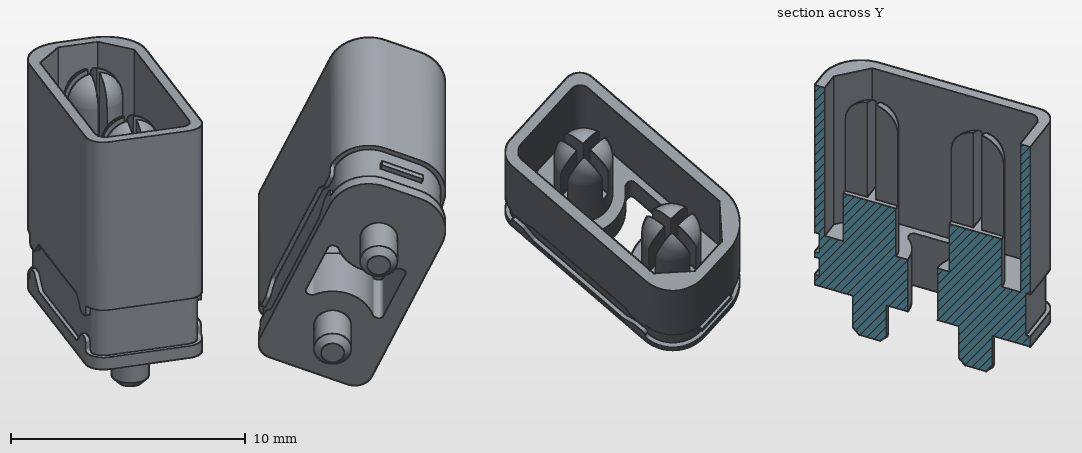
import cadquery as cq

length = 10.2
width = 5.2
total_height = 12.7
body_height = 10.7
large_radius = 1.8
small_radius = 0.8

wall = 0.48
cavity_chamfer = 1.23
cavity_radius = 0.5
cavity_floor = 2.8

band_depth = 0.2
band_bottom = 0.57
band_top = cavity_floor

tab_base = 1.21
upper_tab_height = 0.58
lower_tab_height = 0.62
tab_fillet = 0.19

rib_width = 1.9
rib_height = 0.3
rib_bottom = 1.49

pin_pitch = 5.0
pin_diameter = 2.5
pin_top = 10.43
pin_slot_width = 0.4
pin_slot_depth = 5.08
tail_diameter = 1.6
tail_length = total_height - body_height
tail_chamfer = 0.3

window_length = 2.77
window_width = 3.58
boss_radius = 1.8
window_fillet = 0.2

pin_centres = [(-pin_pitch / 2, 0), (pin_pitch / 2, 0)]


def housing_prism(inset, bottom, top):
    """Prism with the housing outline, moved inwards by inset."""
    prism = (
        cq.Workplane("XY")
        .workplane(offset=bottom)
        .rect(length - 2 * inset, width - 2 * inset)
        .extrude(top - bottom)
    )
    prism = prism.edges("|Z and <X").fillet(large_radius - inset)
    return prism.edges("|Z and >X").fillet(small_radius - inset)


def make_cavity():
    cavity = (
        cq.Workplane("XY")
        .workplane(offset=cavity_floor)
        .rect(length - 2 * wall, width - 2 * wall)
        .extrude(body_height - cavity_floor)
    )
    cavity = cavity.edges("|Z and <X").chamfer(cavity_chamfer)
    return cavity.edges("|Z and >X").fillet(cavity_radius)


def make_tab(x_start, inward, z_base, rise, height):
    """Tab across the full width; inward and rise are the +1 or -1 senses along X and Z.

    It has an upright end at x_start and a 45 degree slope at its other end.
    """
    profile = [(0, 0), (0, height), (tab_base - height, height), (tab_base, 0)]
    points = [(x_start + inward * along, z_base + rise * up) for along, up in profile]
    return cq.Workplane("XZ").polyline(points).close().extrude(width / 2, both=True)


def make_band():
    """Material removed around the base, with the rounded tabs left standing."""
    band = cq.Workplane("XY").box(length, width, band_top - band_bottom)
    band = band.translate((0, 0, (band_bottom + band_top) / 2))
    side_ends = [(-length / 2 + large_radius, 1), (length / 2 - small_radius, -1)]
    for x_start, inward in side_ends:
        band = band.cut(make_tab(x_start, inward, band_bottom, 1, lower_tab_height))
        band = band.cut(make_tab(x_start, inward, band_top, -1, upper_tab_height))
    band = band.edges("|Y and (not <X) and (not >X)").fillet(tab_fillet)
    return band.cut(housing_prism(band_depth, band_bottom, band_top))


def make_rib():
    rib = cq.Workplane("XY").box(wall, rib_width, rib_height, centered=(False, True, False))
    return rib.translate((-length / 2, 0, rib_bottom))


def make_window():
    window = cq.Workplane("XY").rect(window_length, window_width).extrude(cavity_floor)
    bosses = cq.Workplane("XY").pushPoints(pin_centres).circle(boss_radius).extrude(cavity_floor)
    window = window.cut(bosses)
    return window.edges("|Z and (<X or >X)").fillet(window_fillet)


def make_pin():
    """Round-nosed, cross-slotted contact with a chamfered solder tail."""
    radius = pin_diameter / 2
    nose_base = pin_top - radius
    pin = cq.Workplane("XY").circle(radius).extrude(nose_base)
    pin = pin.union(cq.Workplane("XY").sphere(radius).translate((0, 0, nose_base)))
    slot_floor = cq.Workplane("XY").workplane(offset=pin_top - pin_slot_depth)
    for slot_size in [(pin_diameter, pin_slot_width), (pin_slot_width, pin_diameter)]:
        pin = pin.cut(slot_floor.rect(*slot_size).extrude(pin_slot_depth))
    tail = cq.Workplane("XY").circle(tail_diameter / 2).extrude(-tail_length)
    return pin.union(tail.faces("<Z").chamfer(tail_chamfer))


result = housing_prism(0, 0, body_height).cut(make_cavity()).cut(make_band())
result = result.union(make_rib()).cut(make_window())
for pin_x, pin_y in pin_centres:
    result = result.union(make_pin().translate((pin_x, pin_y, 0)))